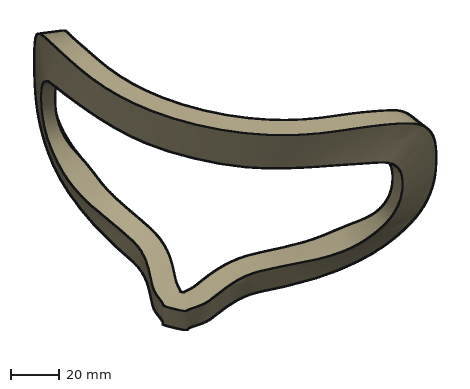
import cadquery as cq
import math


OUTER_RIM_RADIUS = 99.8
INNER_RIM_RADIUS = 102.5
FACE_CENTRE_Y = 86.8
BAND = 10.2
TEMPLE_BAND = 6.0
TAPER_BAND = 6.8
CHEEK_BAND = 8.5

NOSE_TIP_Y = -42.0
NOSE_RADIUS = 11.8

FACE_SECTIONS = [
    (0, 47.2, 0, 29.3, BAND),
    (-26.3, 46.5, -23.5, 28.8, BAND),
    (-49.0, 45.0, -43.3, 28.2, BAND),
    (-64.0, 43.0, -58.2, 26.1, BAND),
    (-76.1, 37.2, -68.5, 22.5, BAND),
    (-83.8, 27.9, -74.4, 18.6, BAND),
    (-87.0, 16.3, -77.5, 12.6, TAPER_BAND),
    (-87.7, 3.2, -78.8, 3.2, TEMPLE_BAND),
    (-87.0, -10.9, -77.2, -10.0, TEMPLE_BAND),
    (-84.4, -21.2, -74.2, -16.3, TAPER_BAND),
    (-78.0, -29.6, -70.0, -20.7, CHEEK_BAND),
    (-69.6, -35.3, -64.9, -24.2, BAND),
    (-54.5, -41.0, -52.3, -28, BAND),
]

NOSE_SECTIONS = [
    (-32.0, -10.7, -44.9, -32.1),
    (-24.4, -15.3, -45.8, -33.3),
    (-18.8, -21.5, -46.3, -34.2),
    (-14.5, -29.1, -46.7, -34.7),
]
NOSE_ARC_X = (-10.3, -5.6, 0)
NOSE_ARC_BOTTOM_Z = -47.0
NOSE_ARC_TOP_Z = -35.5


def on_cylinder(x, z, radius):
    """Point on the forward side of a vertical face cylinder."""
    return cq.Vector(x, FACE_CENTRE_Y - math.sqrt(radius**2 - x**2), z)


def front_sections():
    """(outer rim point, inner rim point, thickness) of every section, brow to nose tip."""
    sections = []
    for outer_x, outer_z, inner_x, inner_z, thickness in FACE_SECTIONS:
        outer = on_cylinder(outer_x, outer_z, OUTER_RIM_RADIUS)
        inner = on_cylinder(inner_x, inner_z, INNER_RIM_RADIUS)
        sections.append((outer, inner, thickness))
    for x, y, bottom, top in NOSE_SECTIONS:
        sections.append((cq.Vector(x, y, bottom), cq.Vector(x, y, top), BAND))
    for x in NOSE_ARC_X:
        y = NOSE_TIP_Y + NOSE_RADIUS - math.sqrt(NOSE_RADIUS**2 - x**2)
        sections.append((cq.Vector(x, y, NOSE_ARC_BOTTOM_Z), cq.Vector(x, y, NOSE_ARC_TOP_Z), BAND))
    return sections


def band_directions(sections):
    """Unit direction of travel along the band at every section."""
    middles = [(outer + inner) * 0.5 for outer, inner, _ in sections]
    directions = [cq.Vector(-1, 0, 0)]
    for before, here, after in zip(middles, middles[1:], middles[2:]):
        arriving = here - before
        leaving = after - here
        tangent = arriving.normalized() * leaving.Length + leaving.normalized() * arriving.Length
        directions.append(tangent.normalized())
    return directions + [cq.Vector(1, 0, 0)]


def section_corners(section, along):
    """Four section corners; the back pair lies square behind the front face."""
    outer, inner, thickness = section
    setback = (inner - outer).cross(along).normalized() * thickness
    return [outer, inner, inner + setback, outer + setback]


def rail(points):
    """Smooth edge through the points that meets the mirror plane squarely."""
    return cq.Edge.makeSpline(list(points), tangents=[cq.Vector(-1, 0, 0), cq.Vector(1, 0, 0)])


def end_cap(points):
    """Flat section face lying on the mirror plane."""
    return cq.Face.makeFromWires(cq.Wire.makePolygon(points, close=True))


sections = front_sections()
corners = [section_corners(*pair) for pair in zip(sections, band_directions(sections))]
corner_rows = list(zip(*corners))

rails = [rail(row) for row in corner_rows]
walls = [cq.Face.makeRuledSurface(a, b) for a, b in zip(rails, rails[1:] + rails[:1])]
caps = [end_cap(corners[0]), end_cap(corners[-1])]
left_half = cq.Workplane(cq.Solid.makeSolid(cq.Shell.makeShell(walls + caps)))

result = left_half.union(left_half.mirror("YZ"))